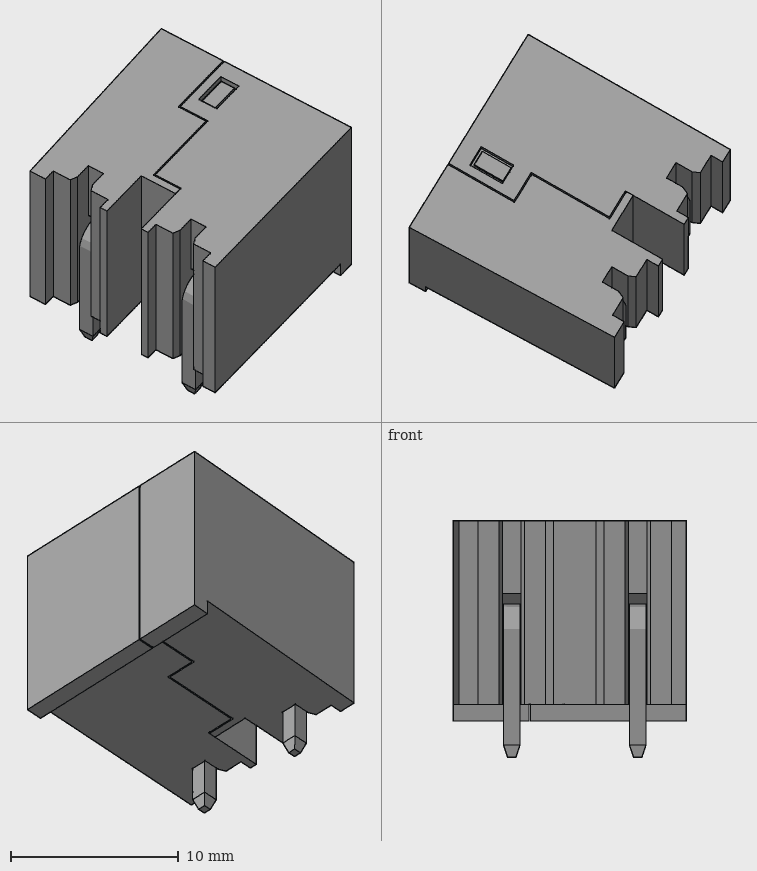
import cadquery as cq

width = 13.9
depth = 14.0
top = 14.1
block_bottom = 3.16
left_draft = 0.37

foot_depth = 1.13
foot_height = 1.0

pin_side = 1.0
pin_pitch = 7.5
right_pin_x = 11.0
left_pin_x = right_pin_x - pin_pitch
pin_front = 1.37
pin_back = pin_front + pin_side
tip_height = 0.75
tip_side = pin_side / 2
bend_outer_radius = 1.5 * pin_side
bend_inner_radius = bend_outer_radius - pin_side
bend_start_z = 7.63
bend_centre_y = pin_front + bend_outer_radius
pin_top = bend_start_z + bend_outer_radius
pin_end_y = bend_centre_y + pin_side

recess_width = 4.0
recess_depth = 0.8
mouth_width = 1.51
mouth_depth = 0.45
channel_width = 1.1
ceiling_slope = 0.63

rib_width = 0.5
slot_depth = 3.52
slot_left = left_pin_x + recess_width / 2 + rib_width
slot_right = right_pin_x - recess_width / 2 - rib_width

joint_gap = 0.08
joint_back_x = 4.53
joint_middle_x = 6.54
joint_step_y = 9.39
joint_ledge_y = 3.99

window_left = 5.16
window_width = 1.33
window_front = 10.6
window_length = 2.25
window_depth = 0.4
island_inset = 0.18
island_front_inset = 0.07
island_drop = 0.13


def corner_box(x, y, z, size_x, size_y, size_z):
    return cq.Workplane("XY").box(size_x, size_y, size_z, centered=False).translate((x, y, z))


def make_pin(pin_x):
    """Square pin, bent back into the housing at the top, with a tapered lower tip."""
    profile = (
        cq.Workplane("YZ", origin=(pin_x - pin_side / 2, 0, 0))
        .moveTo(pin_front, tip_height)
        .lineTo(pin_front, bend_start_z)
        .radiusArc((bend_centre_y, pin_top), bend_outer_radius)
        .lineTo(pin_end_y, pin_top)
        .lineTo(pin_end_y, pin_top - pin_side)
        .lineTo(bend_centre_y, pin_top - pin_side)
        .radiusArc((pin_back, bend_start_z), -bend_inner_radius)
        .lineTo(pin_back, tip_height)
        .close()
    )
    shank = profile.extrude(pin_side)
    tip = (
        cq.Workplane("XY", origin=(pin_x, pin_front + pin_side / 2, 0))
        .rect(tip_side, tip_side)
        .workplane(offset=tip_height)
        .rect(pin_side, pin_side)
        .loft()
    )
    return shank.union(tip)


def pin_channel(pin_x):
    """Front recess, tapered mouth and narrow channel, with a sloped ceiling above the pin."""
    half_recess = recess_width / 2
    half_mouth = mouth_width / 2
    half_channel = channel_width / 2
    mouth_end = recess_depth + mouth_depth
    channel = (
        cq.Workplane("XY", origin=(pin_x, 0, 0))
        .polyline([
            (-half_recess, 0),
            (-half_recess, recess_depth),
            (-half_mouth, recess_depth),
            (-half_channel, mouth_end),
            (-half_channel, pin_back),
            (half_channel, pin_back),
            (half_channel, mouth_end),
            (half_mouth, recess_depth),
            (half_recess, recess_depth),
            (half_recess, 0),
        ])
        .close()
        .extrude(top)
    )
    ceiling_end = pin_back + ceiling_slope
    entry = (
        cq.Workplane("YZ", origin=(pin_x - half_channel, 0, 0))
        .polyline([
            (pin_back, pin_top + ceiling_slope),
            (ceiling_end, pin_top),
            (ceiling_end, pin_top - pin_side),
            (pin_back, pin_top - pin_side),
        ])
        .close()
        .extrude(channel_width)
    )
    return channel.union(entry)


def make_housing(outline, pin_x, pin):
    """Housing half: an upright block on a back foot, hollowed for its pin."""
    foot_bottom = block_bottom - foot_height
    under_foot = corner_box(0, 0, foot_bottom, width, depth - foot_depth, foot_height)
    block = (
        cq.Workplane("XY", origin=(0, 0, foot_bottom))
        .polyline(outline)
        .close()
        .extrude(top - foot_bottom)
    )
    return block.cut(under_foot).cut(pin_channel(pin_x)).cut(pin)


def window_groove():
    window = corner_box(
        window_left, window_front, top - window_depth, window_width, window_length, window_depth
    )
    island = corner_box(
        window_left + island_inset,
        window_front + island_front_inset,
        top - window_depth,
        window_width - 2 * island_inset,
        window_length - island_inset - island_front_inset,
        window_depth - island_drop,
    )
    return window.cut(island)


left_outline = [
    (left_draft, 0),
    (0, depth),
    (joint_back_x, depth),
    (joint_back_x, joint_step_y),
    (joint_middle_x, joint_step_y),
    (joint_middle_x, joint_ledge_y),
    (slot_right, joint_ledge_y),
    (slot_right, slot_depth),
    (slot_left, slot_depth),
    (slot_left, 0),
]
right_outline = [
    (slot_right, 0),
    (slot_right, joint_ledge_y + joint_gap),
    (joint_middle_x + joint_gap, joint_ledge_y + joint_gap),
    (joint_middle_x + joint_gap, joint_step_y + joint_gap),
    (joint_back_x + joint_gap, joint_step_y + joint_gap),
    (joint_back_x + joint_gap, depth),
    (width, depth),
    (width, 0),
]

left_pin, right_pin = [make_pin(pin_x) for pin_x in (left_pin_x, right_pin_x)]
left_housing = make_housing(left_outline, left_pin_x, left_pin)
right_housing = make_housing(right_outline, right_pin_x, right_pin).cut(window_groove())

result = cq.Compound.makeCompound([
    left_housing.val(),
    right_housing.val(),
    left_pin.val(),
    right_pin.val(),
])